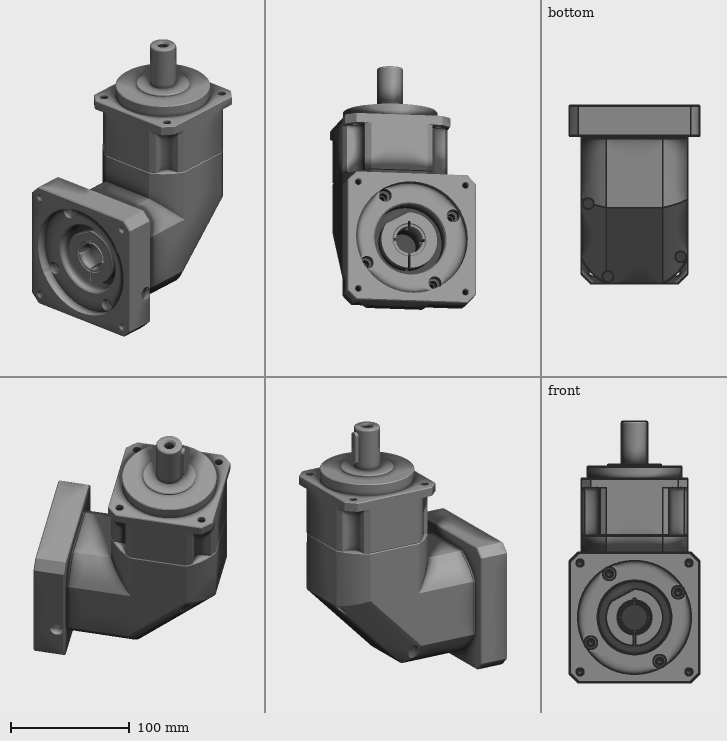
import cadquery as cq
import math


LEG_HALF = 45.0
LEG_CORNER_RADIUS = 51.0
LEG_FLAT_HALF = math.sqrt(LEG_CORNER_RADIUS**2 - LEG_HALF**2)
JOINT_CHAMFER = 0.7

JOINT_Z = 69.3
POCKET_TOP_Z = 109.5
FLANGE_TOP_Z = 117.4
PILOT_TOP_Z = 127.5
DISC_TOP_Z = 129.3
SHAFT_TOP_Z = 165.55

FLANGE_CORNER = 8.2
FLANGE_CHAMFER = 0.7
FLANGE_HOLE_RADIUS = 3.5
FLANGE_HOLE_OFFSET = 35.3
PILOT_RADIUS = 40.0
PILOT_CHAMFER = 0.7
POCKET_OFFSET = 29.0
POCKET_FILLET = 6.0

SHAFT_RADIUS = 11.0
SHAFT_ROUNDING = 1.8
SHOULDER_RADIUS = 34.2
DISC_RADIUS = 22.5
DISC_CHAMFER = 0.7
CENTRE_SINK_RADIUS = 5.7
CENTRE_HOLE_RADIUS = 4.2
CENTRE_HOLE_DEPTH = 15.5
CENTRE_DRILL_RADIUS = 3.3
CENTRE_DRILL_DEPTH = 19.9
KEY_WIDTH = 7.0
KEY_BOTTOM_Z = 133.0
KEY_TOP_Z = 162.0
KEY_OUTER_Y = 13.5
KEY_INNER_Y = 7.5

SLANT_TOP_Z = 19.2
SLANT_RISE = 19.96
ACCESS_HOLE_RADIUS = 4.6
ACCESS_CIRCLE_RADIUS = 45.0
ACCESS_HOLE_TOP_Z = 55.2
BOLT_CIRCLE_RADIUS = 42.5
BOLT_ANGLE = 30.0

PLATE_HALF = 55.05
PLATE_BACK_Y = -79.2
PLATE_FRONT_Y = -105.5
ELBOW_FRONT_Y = -77.9
PLATE_CORNER = 7.5
PLATE_CHAMFER = 0.9
RECESS_RADIUS = 47.9
RECESS_DEPTH = 8.8
BORE_RADIUS = 30.2
BORE_CHAMFER = 1.0
PLATE_HOLE_OFFSET = 45.9
PLATE_HOLE_RADIUS = 2.5
PLATE_HOLE_SINK_RADIUS = 3.2
PLATE_HOLE_DEPTH = 17.6
BOLT_HEAD_RADIUS = 5.5
BOLT_HEAD_DEPTH = 8.8
BOLT_RADIUS = 3.3
THREAD_RADIUS = 2.5
THREAD_DEPTH = 11.0

COLLAR_RADIUS = 23.8
COLLAR_FRONT_Y = -92.7
CLAMP_SCREW_Z = -18.8
SCREW_ACCESS_RADIUS = 5.7
COLLAR_FLAT_DISTANCE = 21.2
COLLAR_FLAT_ANGLE = 28.0
COLLAR_NOTCH_RADIUS = 16.3
SLIT_WIDTH = 2.2
INPUT_RADIUS = 13.5
INPUT_BORE_RADIUS = 11.15
INPUT_BORE_CHAMFER = 0.9
INPUT_BORE_DEPTH = 33.0
INPUT_BACK_Y = -57.4
INPUT_SLOT_DEPTH = 13.2
COLLAR_BORE_CHAMFER = 1.0

DRILL_TIP_SLOPE = math.tan(math.radians(30))
RECESS_FLOOR_Y = PLATE_FRONT_Y + RECESS_DEPTH
BOLT_ANGLES = [BOLT_ANGLE + 90 * i for i in range(4)]


def z_cylinder(radius, bottom, top, x=0, y=0):
    return cq.Workplane("XY", origin=(x, y, bottom)).circle(radius).extrude(top - bottom)


def y_cylinder(radius, front, back, x=0, z=0):
    return cq.Workplane("XZ", origin=(x, back, z)).circle(radius).extrude(back - front)


def y_drill(radius, front, depth, x, z):
    """Blind hole along +Y with a conical tip."""
    tip_y = front + depth + radius * DRILL_TIP_SLOPE
    outline = [(0, front), (radius, front), (radius, front + depth), (0, tip_y)]
    drill = cq.Workplane("XY").polyline(outline).close().revolve(360, (0, 0, 0), (0, 1, 0))
    return drill.translate((x, 0, z))


def y_countersink(radius, sink_radius, front, x=0, z=0):
    """Cone along +Y that narrows from the sink radius to the hole radius at 45 degrees."""
    cone = cq.Solid.makeCone(sink_radius, radius, sink_radius - radius, cq.Vector(x, front, z), cq.Vector(0, 1, 0))
    return cq.Workplane(cone)


def leg(start, end):
    """Square bar with rounded corners along +Z."""
    square = cq.Workplane("XY", origin=(0, 0, start)).rect(2 * LEG_HALF, 2 * LEG_HALF).extrude(end - start)
    return square.intersect(z_cylinder(LEG_CORNER_RADIUS, start, end))


def bolt_points(circle_radius):
    return [
        (circle_radius * math.cos(math.radians(a)), circle_radius * math.sin(math.radians(a)))
        for a in BOLT_ANGLES
    ]


def make_gear_head():
    column = leg(JOINT_Z, POCKET_TOP_Z).faces("<Z").chamfer(JOINT_CHAMFER)
    for i in range(4):
        pocket = (
            cq.Workplane("XY", origin=(POCKET_OFFSET, POCKET_OFFSET, JOINT_Z))
            .rect(LEG_HALF, LEG_HALF, centered=False)
            .extrude(POCKET_TOP_Z - JOINT_Z)
            .edges("|Z and <X and <Y")
            .fillet(POCKET_FILLET)
        )
        column = column.cut(pocket.rotate((0, 0, 0), (0, 0, 1), 90 * i))

    flange = (
        cq.Workplane("XY", origin=(0, 0, POCKET_TOP_Z))
        .rect(2 * LEG_HALF, 2 * LEG_HALF)
        .extrude(FLANGE_TOP_Z - POCKET_TOP_Z)
        .edges("|Z")
        .chamfer(FLANGE_CORNER)
        .faces(">Z")
        .chamfer(FLANGE_CHAMFER)
    )
    for x in (-FLANGE_HOLE_OFFSET, FLANGE_HOLE_OFFSET):
        for y in (-FLANGE_HOLE_OFFSET, FLANGE_HOLE_OFFSET):
            flange = flange.cut(z_cylinder(FLANGE_HOLE_RADIUS, POCKET_TOP_Z, FLANGE_TOP_Z, x, y))

    pilot = z_cylinder(PILOT_RADIUS, FLANGE_TOP_Z, PILOT_TOP_Z).faces(">Z").chamfer(PILOT_CHAMFER)
    shoulder_seat = z_cylinder(SHOULDER_RADIUS, FLANGE_TOP_Z, PILOT_TOP_Z)
    return column.union(flange).union(pilot).cut(shoulder_seat)


def make_key():
    length = KEY_TOP_Z - KEY_BOTTOM_Z
    return (
        cq.Workplane("XZ", origin=(0, KEY_OUTER_Y, KEY_BOTTOM_Z + length / 2))
        .slot2D(length, KEY_WIDTH, 90)
        .extrude(KEY_OUTER_Y - KEY_INNER_Y)
    )


def make_output_shaft(key):
    shaft = z_cylinder(SHAFT_RADIUS, DISC_TOP_Z, SHAFT_TOP_Z).faces(">Z").edges().fillet(SHAFT_ROUNDING)
    disc = z_cylinder(DISC_RADIUS, PILOT_TOP_Z, DISC_TOP_Z).faces(">Z").chamfer(DISC_CHAMFER)
    shoulder = z_cylinder(SHOULDER_RADIUS, FLANGE_TOP_Z, PILOT_TOP_Z)
    sink_bottom = SHAFT_TOP_Z - (CENTRE_SINK_RADIUS - CENTRE_HOLE_RADIUS)
    hole_bottom = SHAFT_TOP_Z - CENTRE_HOLE_DEPTH
    drill_bottom = SHAFT_TOP_Z - CENTRE_DRILL_DEPTH
    centre_hole = (
        cq.Workplane("XZ")
        .polyline([
            (0, SHAFT_TOP_Z),
            (CENTRE_SINK_RADIUS, SHAFT_TOP_Z),
            (CENTRE_HOLE_RADIUS, sink_bottom),
            (CENTRE_HOLE_RADIUS, hole_bottom),
            (CENTRE_DRILL_RADIUS, hole_bottom),
            (CENTRE_DRILL_RADIUS, drill_bottom),
            (0, drill_bottom - CENTRE_DRILL_RADIUS * DRILL_TIP_SLOPE),
        ])
        .close()
        .revolve(360, (0, 0, 0), (0, 1, 0))
    )
    return shaft.union(disc).union(shoulder).cut(centre_hole).cut(key)


def make_mitred_legs():
    """Output and input legs, mitred on the plane Z = -Y."""
    upright = leg(-LEG_HALF, JOINT_Z).faces(">Z").chamfer(JOINT_CHAMFER)
    level = leg(-LEG_HALF, -ELBOW_FRONT_Y).faces(">Z").chamfer(JOINT_CHAMFER).rotate((0, 0, 0), (1, 0, 0), 90)
    reach = -2 * ELBOW_FRONT_Y
    upper_side = (
        cq.Workplane("YZ", origin=(-LEG_HALF, 0, 0))
        .polyline([(-reach, reach), (reach, reach), (reach, -reach)])
        .close()
        .extrude(2 * LEG_HALF)
    )
    return upright.intersect(upper_side).union(level.cut(upper_side))


def slant_envelope():
    """Bar inclined at 45 degrees whose rounded underside trims the outer corner of the elbow."""
    top = 3 * LEG_CORNER_RADIUS
    mid_x = LEG_CORNER_RADIUS / math.sqrt(2)
    mid_rise = SLANT_RISE * (LEG_HALF - mid_x) / (LEG_HALF - LEG_FLAT_HALF)
    length = 4 * LEG_CORNER_RADIUS
    section = cq.Plane(origin=(0, LEG_HALF, SLANT_TOP_Z), xDir=(1, 0, 0), normal=(0, -1, -1))
    return (
        cq.Workplane(section)
        .moveTo(-LEG_FLAT_HALF, 0)
        .lineTo(LEG_FLAT_HALF, 0)
        .threePointArc((mid_x, mid_rise), (LEG_HALF, SLANT_RISE))
        .lineTo(LEG_HALF, top)
        .lineTo(-LEG_HALF, top)
        .lineTo(-LEG_HALF, SLANT_RISE)
        .threePointArc((-mid_x, mid_rise), (-LEG_FLAT_HALF, 0))
        .close()
        .extrude(length, both=True)
    )


def make_elbow():
    elbow = make_mitred_legs().intersect(slant_envelope())
    for x, y in bolt_points(ACCESS_CIRCLE_RADIUS):
        if y > -LEG_FLAT_HALF:
            elbow = elbow.cut(z_cylinder(ACCESS_HOLE_RADIUS, -LEG_HALF, ACCESS_HOLE_TOP_Z, x, y))
    for x, z in bolt_points(BOLT_CIRCLE_RADIUS):
        elbow = elbow.cut(y_drill(THREAD_RADIUS, ELBOW_FRONT_Y, THREAD_DEPTH, x, z))
    return elbow.cut(y_cylinder(INPUT_RADIUS, ELBOW_FRONT_Y, INPUT_BACK_Y))


def make_input_plate():
    plate = (
        cq.Workplane("XZ", origin=(0, PLATE_BACK_Y, 0))
        .rect(2 * PLATE_HALF, 2 * PLATE_HALF)
        .extrude(PLATE_BACK_Y - PLATE_FRONT_Y)
        .edges("|Y")
        .chamfer(PLATE_CORNER)
        .faces("<Y or >Y")
        .chamfer(PLATE_CHAMFER)
    )
    boss = leg(-ELBOW_FRONT_Y, -PLATE_BACK_Y).rotate((0, 0, 0), (1, 0, 0), 90)
    plate = plate.union(boss)
    plate = plate.cut(y_cylinder(RECESS_RADIUS, PLATE_FRONT_Y, RECESS_FLOOR_Y))
    plate = plate.cut(y_cylinder(BORE_RADIUS, RECESS_FLOOR_Y, ELBOW_FRONT_Y))
    plate = plate.cut(y_countersink(BORE_RADIUS, BORE_RADIUS + BORE_CHAMFER, RECESS_FLOOR_Y))
    screw_access = (
        cq.Workplane("YZ", origin=(0, (COLLAR_FRONT_Y + ELBOW_FRONT_Y) / 2, CLAMP_SCREW_Z))
        .circle(SCREW_ACCESS_RADIUS)
        .extrude(PLATE_HALF)
    )
    plate = plate.cut(screw_access)
    for x, z in bolt_points(BOLT_CIRCLE_RADIUS):
        plate = plate.cut(y_cylinder(BOLT_RADIUS, RECESS_FLOOR_Y, ELBOW_FRONT_Y, x, z))
        plate = plate.cut(y_cylinder(BOLT_HEAD_RADIUS, PLATE_FRONT_Y, RECESS_FLOOR_Y + BOLT_HEAD_DEPTH, x, z))
    for x in (-PLATE_HOLE_OFFSET, PLATE_HOLE_OFFSET):
        for z in (-PLATE_HOLE_OFFSET, PLATE_HOLE_OFFSET):
            plate = plate.cut(y_drill(PLATE_HOLE_RADIUS, PLATE_FRONT_Y, PLATE_HOLE_DEPTH, x, z))
            plate = plate.cut(y_countersink(PLATE_HOLE_RADIUS, PLATE_HOLE_SINK_RADIUS, PLATE_FRONT_Y, x, z))
    return plate


def make_clamp_collar():
    collar = y_cylinder(COLLAR_RADIUS, COLLAR_FRONT_Y, ELBOW_FRONT_Y)
    collar = collar.cut(y_cylinder(INPUT_RADIUS, COLLAR_FRONT_Y, ELBOW_FRONT_Y))
    collar = collar.cut(y_countersink(INPUT_RADIUS, INPUT_RADIUS + COLLAR_BORE_CHAMFER, COLLAR_FRONT_Y))
    length = ELBOW_FRONT_Y - COLLAR_FRONT_Y
    slit = cq.Workplane("XY").box(SLIT_WIDTH, length, COLLAR_RADIUS, centered=(True, False, False))
    collar = collar.cut(slit.translate((0, COLLAR_FRONT_Y, -COLLAR_RADIUS)))
    notch = cq.Workplane("XY").box(SLIT_WIDTH, length, COLLAR_NOTCH_RADIUS, centered=(True, False, False))
    collar = collar.cut(notch.translate((0, COLLAR_FRONT_Y, 0)))
    flat = (
        cq.Workplane("XY")
        .box(2 * COLLAR_RADIUS, length, COLLAR_RADIUS, centered=(True, False, False))
        .translate((0, COLLAR_FRONT_Y, COLLAR_FLAT_DISTANCE))
        .rotate((0, 0, 0), (0, 1, 0), -COLLAR_FLAT_ANGLE)
    )
    return collar.cut(flat)


def make_input_shaft():
    shaft = y_cylinder(INPUT_RADIUS, COLLAR_FRONT_Y, INPUT_BACK_Y)
    shaft = shaft.cut(y_cylinder(INPUT_BORE_RADIUS, COLLAR_FRONT_Y, COLLAR_FRONT_Y + INPUT_BORE_DEPTH))
    bore_mouth_radius = INPUT_BORE_RADIUS + INPUT_BORE_CHAMFER
    shaft = shaft.cut(y_countersink(INPUT_BORE_RADIUS, bore_mouth_radius, COLLAR_FRONT_Y))
    for width, height in ((SLIT_WIDTH, 2 * INPUT_RADIUS), (2 * INPUT_RADIUS, SLIT_WIDTH)):
        slot = cq.Workplane("XY").box(width, INPUT_SLOT_DEPTH, height, centered=(True, False, True))
        shaft = shaft.cut(slot.translate((0, COLLAR_FRONT_Y, 0)))
    return shaft


gear_head = make_gear_head()
key = make_key()
output_shaft = make_output_shaft(key)
elbow = make_elbow()
input_plate = make_input_plate()
clamp_collar = make_clamp_collar()
input_shaft = make_input_shaft()

result = cq.Compound.makeCompound([
    gear_head.val(),
    output_shaft.val(),
    key.val(),
    elbow.val(),
    input_plate.val(),
    clamp_collar.val(),
    input_shaft.val(),
])